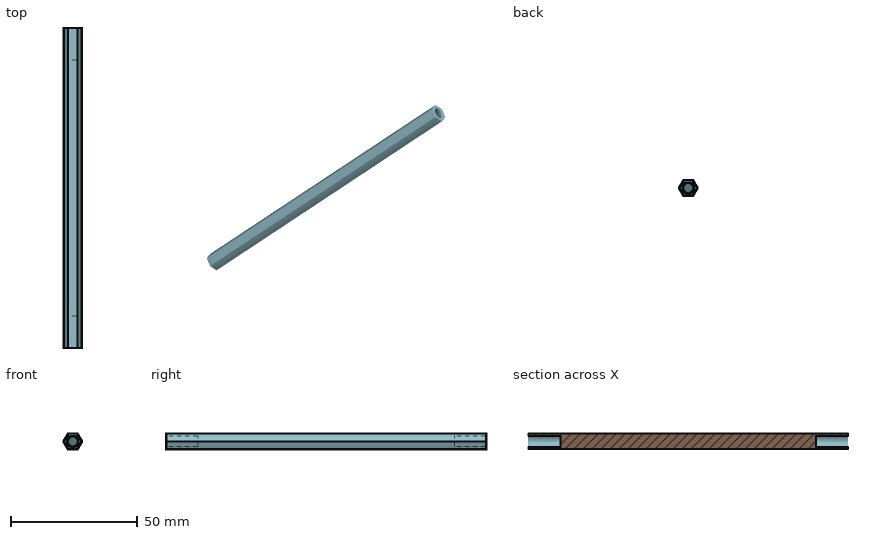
import cadquery as cq
import math

length = 127.0
across_flats = 6.35
across_corners = across_flats / math.cos(math.pi / 6)

face_diameter = 0.95 * across_flats
chamfer_angle = 8.0
envelope_clearance = 1.0

bore_diameter = 4.166
bore_depth = 12.7
mouth_diameter = 4.5
mouth_angle = 90.0


def hexagonal_bar():
    """Bar with two corners on the X axis and flats facing +Z and -Z."""
    return (
        cq.Workplane("XZ")
        .polygon(6, across_corners)
        .extrude(length / 2, both=True)
    )


def chamfer_envelope():
    """Round bar with conical ends, large enough to trim only the hexagon's ends."""
    outer_radius = across_corners / 2 + envelope_clearance
    face_radius = face_diameter / 2
    cone_length = (outer_radius - face_radius) * math.tan(math.radians(chamfer_angle))
    end = length / 2
    shoulder = end - cone_length
    return (
        cq.Workplane("XY")
        .moveTo(0, -end)
        .lineTo(face_radius, -end)
        .lineTo(outer_radius, -shoulder)
        .lineTo(outer_radius, shoulder)
        .lineTo(face_radius, end)
        .lineTo(0, end)
        .close()
        .revolve(360, (0, 0, 0), (0, 1, 0))
    )


def bore_end(body, face):
    """Cut the blind bore and its conical mouth into one end face."""
    return (
        body.faces(face)
        .workplane(centerOption="CenterOfBoundBox")
        .cskHole(bore_diameter, mouth_diameter, mouth_angle, bore_depth)
    )

result = hexagonal_bar().intersect(chamfer_envelope())
for end_face in ("<Y", ">Y"):
    result = bore_end(result, end_face)